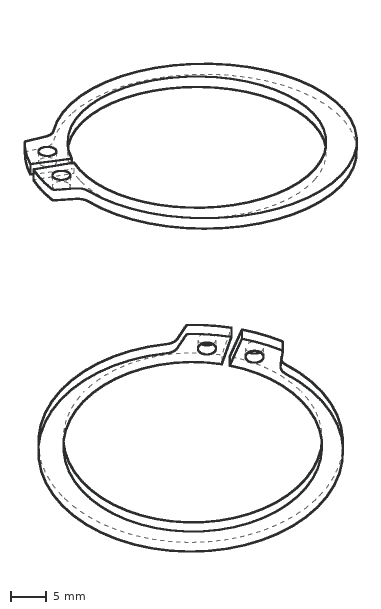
import cadquery as cq
import math

thickness = 1.75
bore_radius = 18.25
rim_diameter = 43.0
rim_radius = rim_diameter / 2
total_length = 46.9
lug_tip_radius = 24.3

gap_half_angle = 1.8
lowest_depth = lug_tip_radius * math.cos(math.radians(gap_half_angle))
rim_offset = total_length - lowest_depth - rim_radius

lug_tip_half_width = 7.05
lug_flank_angle = 8.7
lug_root_fillet = 1.95
lug_corner_fillet = 0.45

plier_hole_diameter = 2.55
plier_hole_x = 3.45
plier_hole_y = -20.95


def make_rim():
    """Disc whose centre is shifted so that the ring is thickest opposite the gap."""
    return cq.Workplane("XY").center(0, rim_offset).circle(rim_radius).extrude(thickness)


def make_lugs():
    """Both lugs as one block, with an arc along the tip and flanks running up into the rim."""
    tip_y = -math.sqrt(lug_tip_radius**2 - lug_tip_half_width**2)
    root_y = -bore_radius
    root_half_width = lug_tip_half_width + (root_y - tip_y) * math.tan(math.radians(lug_flank_angle))
    return (
        cq.Workplane("XY")
        .moveTo(-root_half_width, root_y)
        .lineTo(-lug_tip_half_width, tip_y)
        .threePointArc((0, -lug_tip_radius), (lug_tip_half_width, tip_y))
        .lineTo(root_half_width, root_y)
        .close()
        .extrude(thickness)
    )


def make_gap():
    """Wedge from the bore centre that separates the lugs."""
    wedge_length = 1.2 * lug_tip_radius
    wedge_half_width = wedge_length * math.tan(math.radians(gap_half_angle))
    return (
        cq.Workplane("XY")
        .polyline([(0, 0), (-wedge_half_width, -wedge_length), (wedge_half_width, -wedge_length)])
        .close()
        .extrude(thickness)
    )


def make_plier_holes():
    return (
        cq.Workplane("XY")
        .pushPoints([(side * plier_hole_x, plier_hole_y) for side in (-1, 1)])
        .circle(plier_hole_diameter / 2)
        .extrude(thickness)
    )


body = make_rim().union(make_lugs())
corner_edges = cq.selectors.BoxSelector(
    (-rim_radius, -lug_tip_radius, -thickness),
    (rim_radius, plier_hole_y - plier_hole_diameter / 2, 2 * thickness),
)
root_edges = cq.selectors.BoxSelector(
    (-lug_tip_radius / 2, plier_hole_y, -thickness),
    (lug_tip_radius / 2, -bore_radius / 2, 2 * thickness),
)
body = body.edges("|Z").edges(corner_edges).fillet(lug_corner_fillet)
body = body.edges("|Z").edges(root_edges).fillet(lug_root_fillet)

bore = cq.Workplane("XY").circle(bore_radius).extrude(thickness)
result = body.cut(bore).cut(make_gap()).cut(make_plier_holes())